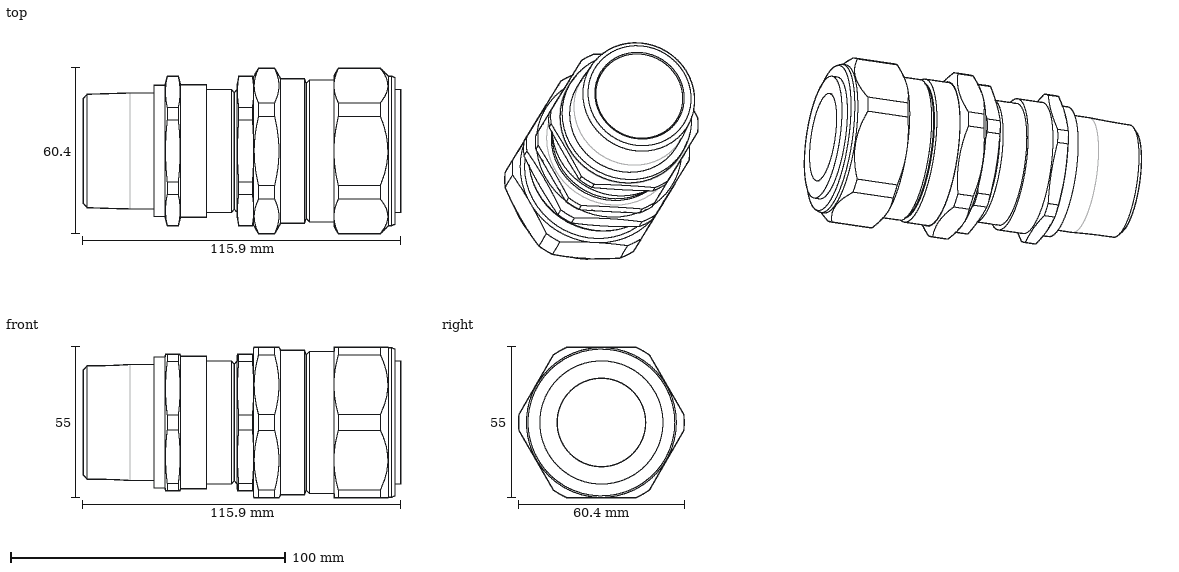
import cadquery as cq
import math

TOTAL_LENGTH = 115.9

BORE_RADIUS = 16.1
BORE_CHAMFER = 0.5

SPIGOT_END = 25.8
SPIGOT_RADIUS = 21.2
TAPER_END = 17.2
TAPER_TIP_RADIUS = 20.7
TIP_CHAMFER_LENGTH = 1.5
TIP_FACE_RADIUS = 19.1

LOCK_NUT_FLATS = 49.8
LOCK_NUT_CORNER_RADIUS = 27.4
LOCK_NUT_FACE_RADIUS = 24.2
FRONT_NUT_START = 29.9
FRONT_NUT_END = 35.6
FRONT_NUT_CHAMFER = 0.8
REAR_NUT_START = 56.2
REAR_NUT_END = 62.4
REAR_NUT_CHAMFER = 0.6

FRONT_COLLAR_RADIUS = 24.0
REAR_COLLAR_END = 45.1
REAR_COLLAR_RADIUS = 24.2

SLEEVE_RADIUS = 22.5
SLEEVE_END = 54.1
NECK_RADIUS = 21.4
NECK_START = 55.0
NECK_END = 55.3

LARGE_FLATS = 55.0
LARGE_CORNER_RADIUS = 30.2
CHAMFER_SLOPE = math.tan(math.radians(30))
LONG_CHAMFER_SLOPE = math.tan(math.radians(45))
HEX_BODY_START = 62.1
HEX_BODY_FRONT_RADIUS = 27.0
HEX_BODY_REAR_RADIUS = 26.7
HEX_BODY_END = 72.0
CAP_NUT_START = 91.6
CAP_NUT_FACE_RADIUS = 27.6
CAP_NUT_END = 111.4

DRUM_RADIUS = 26.4
DRUM_END = 80.8
GROOVE_RADIUS = 24.9
GROOVE_FLOOR_START = 81.2
GROOVE_FLOOR_END = 81.6
GROOVE_END = 82.6
RING_RADIUS = 26.0

FLANGE_RADIUS = 27.4
FLANGE_CHAMFER_START = 112.5
FLANGE_END = 113.8
FLANGE_FACE_RADIUS = 26.8
TAIL_RADIUS = 22.5


def turned(points):
    """Solid of revolution about X from (x, radius) points, closed along the axis."""
    outline = [(points[0][0], 0)] + points + [(points[-1][0], 0)]
    return cq.Workplane("XY").polyline(outline).close().revolve(360, (0, 0, 0), (1, 0, 0))


def hex_nut(start, end, flats, corner_radius, front_face, rear_face):
    """Hexagon with its flats facing +Z and -Z, its corners rounded and chamfered at both ends.

    Each face is given as (face radius, chamfer length along X).
    """
    front_radius, front_chamfer = front_face
    rear_radius, rear_chamfer = rear_face
    corner_diameter = flats / math.cos(math.radians(30))
    prism = cq.Workplane("YZ", origin=(start, 0, 0)).polygon(6, corner_diameter).extrude(end - start)
    envelope = turned([
        (start, front_radius),
        (start + front_chamfer, corner_radius),
        (end - rear_chamfer, corner_radius),
        (end, rear_radius),
    ])
    return prism.intersect(envelope)


def lock_nut(start, end, chamfer):
    face = (LOCK_NUT_FACE_RADIUS, chamfer)
    return hex_nut(start, end, LOCK_NUT_FLATS, LOCK_NUT_CORNER_RADIUS, face, face)


def large_hex(start, end, front_radius, rear_radius, rear_slope):
    """Large hexagon; the rear slope is chamfer length per unit of radius."""
    front_face = (front_radius, (LARGE_CORNER_RADIUS - front_radius) * CHAMFER_SLOPE)
    rear_face = (rear_radius, (LARGE_CORNER_RADIUS - rear_radius) * rear_slope)
    return hex_nut(start, end, LARGE_FLATS, LARGE_CORNER_RADIUS, front_face, rear_face)


body = turned([
    (0, TIP_FACE_RADIUS),
    (TIP_CHAMFER_LENGTH, TAPER_TIP_RADIUS),
    (TAPER_END, SPIGOT_RADIUS),
    (SPIGOT_END, SPIGOT_RADIUS),
    (SPIGOT_END, FRONT_COLLAR_RADIUS),
    (FRONT_NUT_START, FRONT_COLLAR_RADIUS),
    (FRONT_NUT_END, REAR_COLLAR_RADIUS),
    (REAR_COLLAR_END, REAR_COLLAR_RADIUS),
    (REAR_COLLAR_END, SLEEVE_RADIUS),
    (SLEEVE_END, SLEEVE_RADIUS),
    (NECK_START, NECK_RADIUS),
    (NECK_END, NECK_RADIUS),
    (REAR_NUT_START, SLEEVE_RADIUS),
    (HEX_BODY_START, SLEEVE_RADIUS),
    (HEX_BODY_END, DRUM_RADIUS),
    (DRUM_END, DRUM_RADIUS),
    (GROOVE_FLOOR_START, GROOVE_RADIUS),
    (GROOVE_FLOOR_END, GROOVE_RADIUS),
    (GROOVE_END, RING_RADIUS),
    (CAP_NUT_END, RING_RADIUS),
    (CAP_NUT_END, TAIL_RADIUS),
    (TOTAL_LENGTH, TAIL_RADIUS),
])

flange = turned([
    (CAP_NUT_END, FLANGE_RADIUS),
    (FLANGE_CHAMFER_START, FLANGE_RADIUS),
    (FLANGE_END, FLANGE_FACE_RADIUS),
])

front_nut = lock_nut(FRONT_NUT_START, FRONT_NUT_END, FRONT_NUT_CHAMFER)
rear_nut = lock_nut(REAR_NUT_START, REAR_NUT_END, REAR_NUT_CHAMFER)
hex_body = large_hex(HEX_BODY_START, HEX_BODY_END, HEX_BODY_FRONT_RADIUS, HEX_BODY_REAR_RADIUS, CHAMFER_SLOPE)
cap_nut = large_hex(CAP_NUT_START, CAP_NUT_END, CAP_NUT_FACE_RADIUS, FLANGE_RADIUS, LONG_CHAMFER_SLOPE)

bore = turned([
    (0, BORE_RADIUS + BORE_CHAMFER),
    (BORE_CHAMFER, BORE_RADIUS),
    (TOTAL_LENGTH, BORE_RADIUS),
])

result = body.union(flange)
for nut in (front_nut, rear_nut, hex_body, cap_nut):
    result = result.union(nut)
result = result.cut(bore)